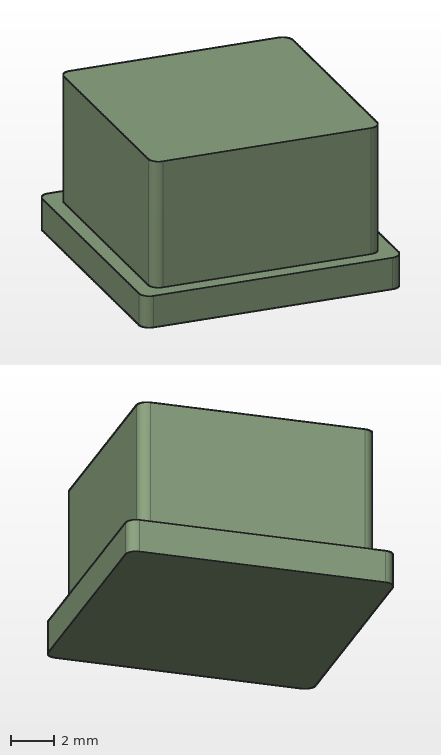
import cadquery as cq

flange_side = 12.95
flange_height = 1.59
body_side = 11.42
total_height = 7.94
corner_radius = 0.52

body_height = total_height - flange_height


def rounded_square_block(side, height, bottom):
    """Upright square block, centred on Z, with rounded vertical edges."""
    block = cq.Workplane("XY").workplane(offset=bottom).rect(side, side).extrude(height)
    return block.edges("|Z").fillet(corner_radius)


flange = rounded_square_block(flange_side, flange_height, 0)
body = rounded_square_block(body_side, body_height, flange_height)

result = flange.union(body)